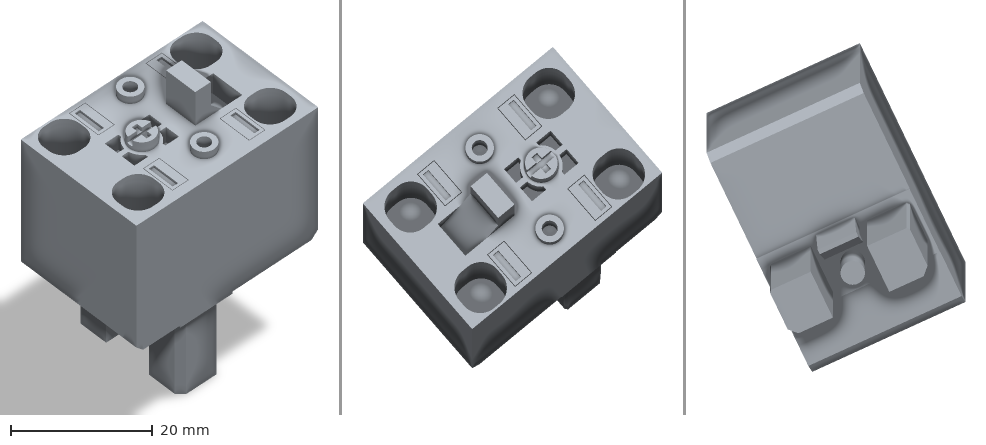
import cadquery as cq
import math


housing_length_x = 23.85
housing_length_y = 35.05
housing_height = 25.25
bottom_chamfer = 1.3

foot_thickness = 0.45
foot_back_y = 1.0
foot_front_y = -9.0
leg_length = 15.45
leg_width = 6.5
leg_back_y = -0.55
leg_front_y = -7.9
leg_spacing = 15.25
leg_front_chamfer = 1.15
leg_back_chamfer = 0.35

middle_x = -0.2
column_offset_x = 7.65
column_middle_x = -0.5
columns_x = [column_middle_x - column_offset_x, column_middle_x + column_offset_x]

wire_hole_size = 6.95
wire_hole_corner_radius = 2.95
wire_hole_depth = 10.0
wire_hole_y = 12.75

boss_diameter = 4.0
boss_height = 1.45
boss_hole_diameter = 2.25
boss_hole_depth = 3.0

button_length_x = 5.9
button_length_y = 2.95
button_depth = 5.0
button_gap = 0.1
button_y = 7.4
button_slot_length = 4.95
button_slot_width = 1.0
button_slot_depth = 0.5
button_slot_y = 7.85

screw_y = -5.15
screw_head_base_radius = 2.45
screw_head_top_radius = 2.3
screw_head_height = 1.75
screw_shank_diameter = 3.45
screw_tip_z = -32.35
screw_slot_width = 1.0
screw_slot_depth = 1.1
screw_cross_slot_length = 3.05
screw_cross_slot_depth = 0.8

screw_pocket_length_x = 6.1
screw_pocket_length_y = 8.6
screw_pocket_depth = 3.0
screw_collar_diameter = 6.0
screw_rib_width_x = 0.85
screw_rib_width_y = 3.35

lever_width = 6.0
lever_rise = 6.6
lever_front_y = 2.35
lever_back_y = 5.35
lever_slope_rise = 2.0
lever_opening_back_y = 11.4
lever_shoulder_z = -4.0
lever_heel_z = -5.72
arm_front_y = -1.0
arm_tip_z = -32.85
arm_tip_back_y = 0.1
arm_back_taper = math.radians(4.2)
hook_ledge_z = -29.8
hook_nose_height = 0.35
hook_nose_y = -2.2
hook_tip_front_y = -0.6

housing_bottom_z = -housing_height
foot_bottom_z = housing_bottom_z - foot_thickness


def box_between(x_range, y_range, z_range):
    """Axis-aligned box between pairs of limits."""
    lengths = [high - low for low, high in (x_range, y_range, z_range)]
    corner = (x_range[0], y_range[0], z_range[0])
    return cq.Workplane("XY").box(*lengths, centered=False).translate(corner)


def centred_box(x, y, length_x, length_y, top_z, depth):
    """Box centred on (x, y) that goes down from top_z."""
    box = cq.Workplane("XY").box(length_x, length_y, depth, centered=(True, True, False))
    return box.translate((x, y, top_z - depth))


def cylinder_down(x, y, diameter, top_z, depth):
    """Vertical cylinder that goes down from top_z."""
    return cq.Workplane("XY", origin=(x, y, top_z)).circle(diameter / 2).extrude(-depth)



def lever_slope_end_z():
    """Height where the 45 degree slope meets the back wall of the lever opening."""
    return lever_slope_rise - (lever_opening_back_y - lever_back_y)


def extrude_lever_profile(points):
    """Prism over the lever width from a profile in Y and Z."""
    left_x = middle_x - lever_width / 2
    return cq.Workplane("YZ", origin=(left_x, 0, 0)).polyline(points).close().extrude(lever_width)


def make_lever():
    heel_back_y = arm_tip_back_y + (lever_heel_z - arm_tip_z) * math.tan(arm_back_taper)
    return extrude_lever_profile([
        (lever_front_y, lever_rise),
        (lever_front_y, lever_shoulder_z),
        (arm_front_y, lever_shoulder_z),
        (arm_front_y, hook_ledge_z),
        (hook_nose_y, hook_ledge_z),
        (hook_nose_y, hook_ledge_z - hook_nose_height),
        (hook_tip_front_y, arm_tip_z),
        (arm_tip_back_y, arm_tip_z),
        (heel_back_y, lever_heel_z),
        (lever_opening_back_y, lever_heel_z),
        (lever_opening_back_y, lever_slope_end_z()),
        (lever_back_y, lever_slope_rise),
        (lever_back_y, lever_rise),
    ])


def make_lever_slope_opening():
    """Open space in the housing above the slope of the lever."""
    slope_foot_y = lever_back_y + lever_slope_rise
    return extrude_lever_profile([
        (slope_foot_y, 0),
        (lever_opening_back_y, 0),
        (lever_opening_back_y, lever_slope_end_z()),
    ])



def make_screw():
    head = (
        cq.Workplane("XY")
        .circle(screw_head_base_radius)
        .workplane(offset=screw_head_height)
        .circle(screw_head_top_radius)
        .loft()
        .translate((middle_x, screw_y, 0))
    )
    shank = cylinder_down(middle_x, screw_y, screw_shank_diameter, 0, -screw_tip_z)
    full_slot_length = 2 * screw_head_base_radius
    screw = head.union(shank)
    for length_x, length_y, depth in [
        (screw_slot_width, full_slot_length, screw_slot_depth),
        (screw_cross_slot_length, screw_slot_width, screw_cross_slot_depth),
    ]:
        slot = centred_box(middle_x, screw_y, length_x, length_y, screw_head_height, depth)
        screw = screw.cut(slot)
    return screw


def make_screw_pockets():
    pockets = centred_box(
        middle_x, screw_y, screw_pocket_length_x, screw_pocket_length_y, 0, screw_pocket_depth
    )
    collar = cylinder_down(middle_x, screw_y, screw_collar_diameter, 0, screw_pocket_depth)
    rib_y = centred_box(
        middle_x, screw_y, screw_rib_width_x, screw_pocket_length_y, 0, screw_pocket_depth
    )
    rib_x = centred_box(
        middle_x, screw_y, screw_pocket_length_x, screw_rib_width_y, 0, screw_pocket_depth
    )
    return pockets.cut(collar).cut(rib_y).cut(rib_x)



def make_button(x, side):
    """Release button flush with the top face; side is +1 for the back row, -1 for the front row."""
    button = centred_box(x, side * button_y, button_length_x, button_length_y, 0, button_depth)
    slot = centred_box(
        x, side * button_slot_y, button_slot_length, button_slot_width, 0, button_slot_depth
    )
    return button.cut(slot)


def make_button_pocket(x, side):
    return centred_box(
        x,
        side * button_y,
        button_length_x + 2 * button_gap,
        button_length_y + 2 * button_gap,
        0,
        button_depth,
    )



def make_leg(side):
    """Leg with chamfered outer edges; side is -1 for the left leg, +1 for the right leg."""
    inner_x = middle_x + side * (leg_spacing - leg_width) / 2
    outer_x = inner_x + side * leg_width
    section = [
        (inner_x, leg_back_y),
        (outer_x - side * leg_back_chamfer, leg_back_y),
        (outer_x, leg_back_y - leg_back_chamfer),
        (outer_x, leg_front_y + leg_front_chamfer),
        (outer_x - side * leg_front_chamfer, leg_front_y),
        (inner_x, leg_front_y),
    ]
    return cq.Workplane("XY", origin=(0, 0, foot_bottom_z)).polyline(section).close().extrude(-leg_length)


def make_wire_hole(x, y):
    hole = centred_box(x, y, wire_hole_size, wire_hole_size, 0, wire_hole_depth)
    return hole.edges("|Z").fillet(wire_hole_corner_radius)


def make_housing(lever):
    block = centred_box(0, 0, housing_length_x, housing_length_y, 0, housing_height)
    housing = block.faces("<Z").edges("|X").chamfer(bottom_chamfer)
    half_x = housing_length_x / 2
    foot = box_between((-half_x, half_x), (foot_front_y, foot_back_y), (foot_bottom_z, housing_bottom_z))
    housing = housing.union(foot)

    for side in (-1, 1):
        housing = housing.union(make_leg(side))

    for x in columns_x:
        housing = housing.union(cylinder_down(x, 0, boss_diameter, boss_height, boss_height))
        housing = housing.cut(cylinder_down(x, 0, boss_hole_diameter, boss_height, boss_hole_depth))
        for side in (-1, 1):
            housing = housing.cut(make_wire_hole(x, side * wire_hole_y))
            housing = housing.cut(make_button_pocket(x, side))

    housing = housing.cut(make_screw_pockets())
    housing = housing.cut(cylinder_down(middle_x, screw_y, screw_shank_diameter, 0, -screw_tip_z))
    return housing.cut(lever).cut(make_lever_slope_opening())


lever = make_lever()
screw = make_screw()
buttons = [make_button(x, side) for x in columns_x for side in (-1, 1)]
housing = make_housing(lever)

result = cq.Compound.makeCompound(
    [housing.val(), lever.val(), screw.val(), *[button.val() for button in buttons]]
)